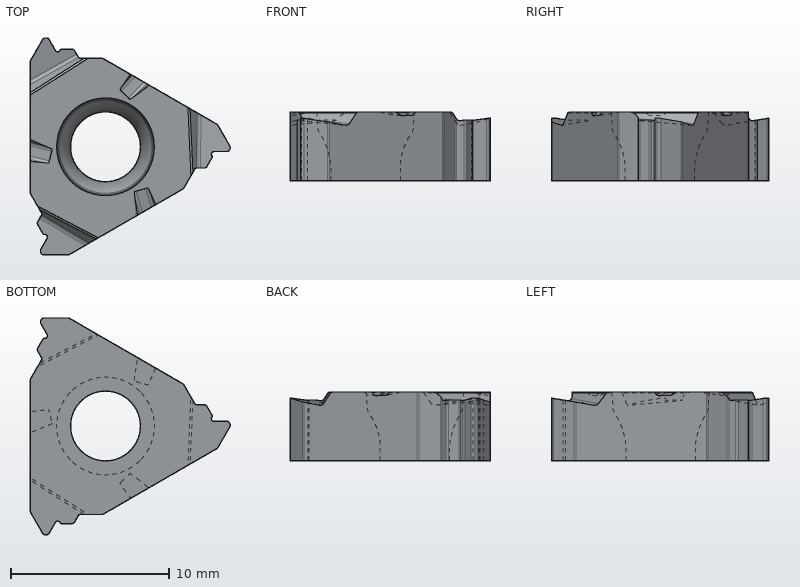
import cadquery as cq
import math

CORNERS = 3
CORNER_PITCH = 360 / CORNERS
THICKNESS = 4.35
INSCRIBED_DIAMETER = 9.525
SIDE_DISTANCE = INSCRIBED_DIAMETER / 2

THREAD_FLANK_ANGLE = 30
LEADING_FLANK_DISTANCE = 6.84
TRAILING_FLANK_DISTANCE = 0.31
CREST_DISTANCE = 6.89
RELIEF_FLOOR_DISTANCE = 6.02
RELIEF_WALL_DISTANCE = 5.55
RIDGE_DISTANCE = 6.18
RIDGE_FLANK_DISTANCE = 1.35
TRUNCATION_DISTANCE = 5.6

BODY_CORNER_RADIUS = 0.25
CREST_RADIUS = 0.23
RELIEF_RADIUS = 0.12
RIDGE_RADIUS = 0.2
RIDGE_ROOT_RADIUS = 0.13

HOLE_RADIUS = 4.4 / 2
RECESS_RADIUS = 6.18 / 2
RECESS_BOTTOM_RADIUS = 3.02
RECESS_DEPTH = 1.05
SEAT_TOP_RADIUS = 2.94
SEAT_TOP_DEPTH = 1.31
SEAT_CURVE_RADIUS = 3.75

RAKE_DEPTH_AT_AXIS = 1.508
RAKE_SLOPE = 0.141
GROOVE_FALL = 0.088
GROOVE_SKEW = 0.012
WALL_RUN = 0.65
GROOVE_ROOT_RADIUS = 0.26
GROOVE_HALF_LENGTH = 4.0
BREAK_EDGE_X = 5.317
BREAK_SKEW = -0.0424
BREAK_WIDTH = 0.14
BREAK_DEPTH = 0.076
CLEARANCE = 1.0

NOTCH_END = (-3.474, -0.588)
NOTCH_DIRECTION = 166
NOTCH_END_DEPTH = 0.03
NOTCH_FALL_ANGLE = 8.5
NOTCH_FLOOR_WIDTH = 0.63
NOTCH_FILLET_RADIUS = 0.28
NOTCH_WALL_ANGLE = 45
NOTCH_LENGTH = 2.5
NOTCH_BREAK_WIDTH = 0.12
NOTCH_BREAK_DEPTH = NOTCH_END_DEPTH


def line_crossing(line_a, line_b):
    """Point where two lines meet; a line is (normal angle in degrees, distance from origin)."""
    angle_a, angle_b = math.radians(line_a[0]), math.radians(line_b[0])
    spread = math.sin(angle_b - angle_a)
    x = (line_a[1] * math.sin(angle_b) - line_b[1] * math.sin(angle_a)) / spread
    y = (line_b[1] * math.cos(angle_a) - line_a[1] * math.cos(angle_b)) / spread
    return cq.Vector(x, y)


def rounded_outline(points, radii):
    """Closed outline through the points, each corner rounded with a tangent arc."""
    outline = cq.Workplane("XY")
    for index, (point, radius) in enumerate(zip(points, radii)):
        to_previous = (points[index - 1] - point).normalized()
        to_next = (points[(index + 1) % len(points)] - point).normalized()
        half_angle = to_previous.getAngle(to_next) / 2
        tangent_length = radius / math.tan(half_angle)
        arc_start = point + to_previous * tangent_length
        arc_end = point + to_next * tangent_length
        bisector = (to_previous + to_next).normalized()
        arc_middle = point + bisector * (radius / math.sin(half_angle) - radius)
        if index == 0:
            outline = outline.moveTo(arc_start.x, arc_start.y)
        else:
            outline = outline.lineTo(arc_start.x, arc_start.y)
        outline = outline.threePointArc((arc_middle.x, arc_middle.y), (arc_end.x, arc_end.y))
    return outline.close()


def insert_blank():
    """Full-height body with the three thread profiles."""
    crest_normal = 90
    leading_normal = 180 - THREAD_FLANK_ANGLE
    trailing_normal = THREAD_FLANK_ANGLE
    corner_lines = [
        (180, SIDE_DISTANCE, BODY_CORNER_RADIUS),
        (leading_normal, LEADING_FLANK_DISTANCE, CREST_RADIUS),
        (crest_normal, CREST_DISTANCE, CREST_RADIUS),
        (trailing_normal, TRAILING_FLANK_DISTANCE, RELIEF_RADIUS),
        (crest_normal, RELIEF_FLOOR_DISTANCE, RELIEF_RADIUS),
        (leading_normal, RELIEF_WALL_DISTANCE, RELIEF_RADIUS),
        (crest_normal, RIDGE_DISTANCE, RIDGE_RADIUS),
        (trailing_normal, RIDGE_FLANK_DISTANCE, RIDGE_ROOT_RADIUS),
        (crest_normal, TRUNCATION_DISTANCE, BODY_CORNER_RADIUS),
    ]
    lines = []
    for corner in range(CORNERS):
        for normal, distance, radius in corner_lines:
            lines.append((normal - corner * CORNER_PITCH, distance, radius))
    following_lines = lines[1:] + lines[:1]
    points = [line_crossing(line, following) for line, following in zip(lines, following_lines)]
    radii = [line[2] for line in lines]
    return rounded_outline(points, radii).extrude(THICKNESS)


def screw_hole():
    """Through hole with a slightly tapered recess and a curved seat tangent to the bore."""
    seat_angle = math.acos(1 - (SEAT_TOP_RADIUS - HOLE_RADIUS) / SEAT_CURVE_RADIUS)
    seat_bottom_depth = SEAT_TOP_DEPTH + SEAT_CURVE_RADIUS * math.sin(seat_angle)
    curve_centre_radius = HOLE_RADIUS + SEAT_CURVE_RADIUS
    seat_middle_radius = curve_centre_radius - SEAT_CURVE_RADIUS * math.cos(seat_angle / 2)
    seat_middle_depth = seat_bottom_depth - SEAT_CURVE_RADIUS * math.sin(seat_angle / 2)
    return (
        cq.Workplane("XZ")
        .moveTo(0, 0)
        .lineTo(HOLE_RADIUS, 0)
        .lineTo(HOLE_RADIUS, THICKNESS - seat_bottom_depth)
        .threePointArc(
            (seat_middle_radius, THICKNESS - seat_middle_depth),
            (SEAT_TOP_RADIUS, THICKNESS - SEAT_TOP_DEPTH),
        )
        .lineTo(RECESS_BOTTOM_RADIUS, THICKNESS - RECESS_DEPTH)
        .lineTo(RECESS_RADIUS, THICKNESS)
        .lineTo(0, THICKNESS)
        .close()
        .revolve(360, (0, 0), (0, 1))
    )


def groove_prism(section, skew, fall):
    """Sweep an XZ section, given where Y = 0, straight along a groove across a tooth."""
    half_run = cq.Vector(skew, 1, -fall) * GROOVE_HALF_LENGTH
    start = section.wire().val().translate(half_run * -1)
    return cq.Workplane(cq.Solid.extrudeLinear(start, [], half_run * 2))


def chip_groove():
    """Rake face, root fillet and wall behind one tooth."""
    wall_foot_x = BREAK_EDGE_X + BREAK_WIDTH - WALL_RUN * BREAK_DEPTH
    root_depth = (RAKE_DEPTH_AT_AXIS - RAKE_SLOPE * wall_foot_x) / (1 + RAKE_SLOPE * WALL_RUN)
    root = cq.Vector(wall_foot_x + WALL_RUN * root_depth, THICKNESS - root_depth)
    to_wall = cq.Vector(-WALL_RUN, 1).normalized()
    to_rake = cq.Vector(1, RAKE_SLOPE).normalized()
    half_angle = to_wall.getAngle(to_rake) / 2
    tangent_length = GROOVE_ROOT_RADIUS / math.tan(half_angle)
    wall_tangent = root + to_wall * tangent_length
    rake_tangent = root + to_rake * tangent_length
    bisector = (to_wall + to_rake).normalized()
    arc_middle = root + bisector * (GROOVE_ROOT_RADIUS / math.sin(half_angle) - GROOVE_ROOT_RADIUS)

    outer_x = CREST_DISTANCE + 2 * CLEARANCE
    rake_end_z = THICKNESS - RAKE_DEPTH_AT_AXIS + RAKE_SLOPE * outer_x
    ceiling_z = THICKNESS + CLEARANCE
    section = (
        cq.Workplane("XZ")
        .moveTo(wall_foot_x - WALL_RUN * CLEARANCE, ceiling_z)
        .lineTo(wall_tangent.x, wall_tangent.y)
        .threePointArc((arc_middle.x, arc_middle.y), (rake_tangent.x, rake_tangent.y))
        .lineTo(outer_x, rake_end_z)
        .lineTo(outer_x, ceiling_z)
        .close()
    )
    return groove_prism(section, GROOVE_SKEW, GROOVE_FALL)


def groove_edge_break():
    """Shallow slope along the top edge of the groove wall."""
    outer_x = BREAK_EDGE_X + BREAK_WIDTH
    section = (
        cq.Workplane("XZ")
        .moveTo(BREAK_EDGE_X, THICKNESS)
        .lineTo(outer_x, THICKNESS - BREAK_DEPTH)
        .lineTo(outer_x, THICKNESS)
        .close()
    )
    return groove_prism(section, BREAK_SKEW, 0)


def notch_fillet_point(angle):
    """Offset from the floor middle and height above the floor, at an angle along the fillet."""
    reach = NOTCH_FLOOR_WIDTH / 2 + NOTCH_FILLET_RADIUS * math.sin(angle)
    height = NOTCH_FILLET_RADIUS * (1 - math.cos(angle))
    return reach, height


def marking_notch():
    """Round-bottomed notch that deepens towards the middle of one side, built along +X."""
    wall_angle = math.radians(NOTCH_WALL_ANGLE)
    floor_half = NOTCH_FLOOR_WIDTH / 2
    middle_reach, middle_height = notch_fillet_point(wall_angle / 2)
    wall_reach, wall_height = notch_fillet_point(wall_angle)
    rim_reach = wall_reach + CLEARANCE / math.tan(wall_angle)
    rim_height = wall_height + CLEARANCE
    notch = (
        cq.Workplane("YZ")
        .moveTo(-floor_half, 0)
        .lineTo(floor_half, 0)
        .threePointArc((middle_reach, middle_height), (wall_reach, wall_height))
        .lineTo(rim_reach, rim_height)
        .lineTo(-rim_reach, rim_height)
        .lineTo(-wall_reach, wall_height)
        .threePointArc((-middle_reach, middle_height), (-floor_half, 0))
        .close()
        .extrude(NOTCH_LENGTH)
        .rotate((0, 0, 0), (0, 1, 0), NOTCH_FALL_ANGLE)
        .translate((0, 0, -NOTCH_END_DEPTH))
    )
    return place_notch(notch)


def notch_edge_break():
    """Shallow sloped border around the rim of one notch, built along +X below Z = 0."""
    wall_angle = math.radians(NOTCH_WALL_ANGLE)
    end_angle = math.acos(1 - NOTCH_END_DEPTH / NOTCH_FILLET_RADIUS)
    end_half_width, _ = notch_fillet_point(end_angle)
    wall_reach, wall_height = notch_fillet_point(wall_angle)
    mouth_depth = NOTCH_END_DEPTH + NOTCH_LENGTH * math.tan(math.radians(NOTCH_FALL_ANGLE))
    mouth_half_width = wall_reach + (mouth_depth - wall_height) / math.tan(wall_angle) + NOTCH_BREAK_WIDTH
    slope_angle = math.degrees(math.atan2(NOTCH_BREAK_WIDTH, NOTCH_BREAK_DEPTH))
    border = (
        cq.Workplane("XY")
        .moveTo(0, -end_half_width)
        .lineTo(NOTCH_LENGTH, -mouth_half_width)
        .lineTo(NOTCH_LENGTH, mouth_half_width)
        .lineTo(0, end_half_width)
        .close()
        .extrude(-NOTCH_BREAK_DEPTH, taper=slope_angle)
    )
    return place_notch(border)


def place_notch(cutter):
    """Move a cutter built along +X at the origin to the notch on the side that faces -X."""
    turned = cutter.rotate((0, 0, 0), (0, 0, 1), NOTCH_DIRECTION)
    return turned.translate((NOTCH_END[0], NOTCH_END[1], THICKNESS))


result = insert_blank().cut(screw_hole())
for cutter in (chip_groove(), groove_edge_break(), marking_notch(), notch_edge_break()):
    for corner in range(CORNERS):
        result = result.cut(cutter.rotate((0, 0, 0), (0, 0, 1), corner * CORNER_PITCH))